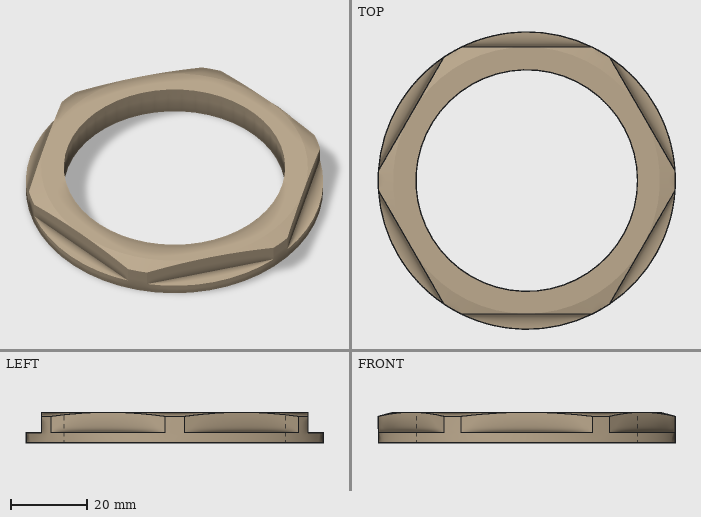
import cadquery as cq
import math

outer_diameter = 78.0
bore_diameter = 58.0
across_flats = 70.0
total_height = 8.0
flange_height = 2.7
chamfer_angle = 15.0

outer_radius = outer_diameter / 2
flat_radius = across_flats / 2
hex_corner_diameter = across_flats / math.cos(math.radians(30))
chamfer_drop = (outer_radius - flat_radius) * math.tan(math.radians(chamfer_angle))


def turned_blank():
    """Solid disc whose top edge is coned down from the circle touching the flats."""
    profile = [
        (0, 0),
        (outer_radius, 0),
        (outer_radius, total_height - chamfer_drop),
        (flat_radius, total_height),
        (0, total_height),
    ]
    return cq.Workplane("XZ").polyline(profile).close().revolve(360, (0, 0, 0), (0, 1, 0))


def nut_envelope():
    """Round flange below a hexagon with two corners on the X axis."""
    flange = cq.Workplane("XY").circle(outer_radius).extrude(flange_height)
    hexagon = cq.Workplane("XY").polygon(6, hex_corner_diameter).extrude(total_height)
    return flange.union(hexagon)


bore = cq.Workplane("XY").circle(bore_diameter / 2).extrude(total_height)
result = turned_blank().intersect(nut_envelope()).cut(bore)